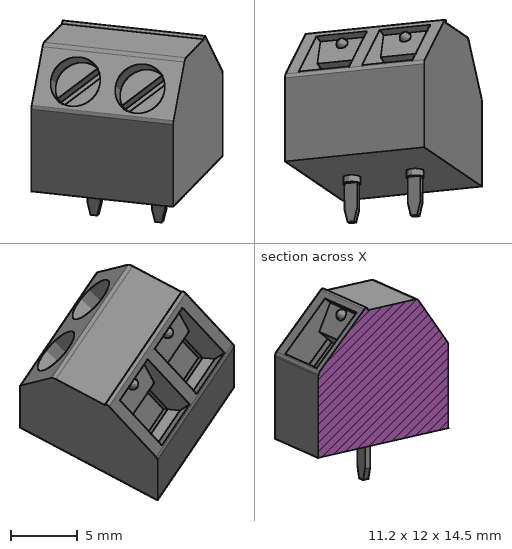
import cadquery as cq
import math


width = 11.16
depth = 12.0
roof_height = 10.8
front_shoulder = 6.7
rear_shoulder = 6.7
front_angle = 55.0
rear_angle = 45.0
edge_radius = 0.5
bead_radius = 0.2

pitch = 5.08
pole_positions = (-pitch / 2, pitch / 2)

screw_diameter = 3.84
screw_center_height = 8.6
screw_depth = 1.48
slot_width = 0.75
slot_depth = 1.0
slot_turn = 45.0

funnel_edge_inset = 0.23
mouth_width = 4.05
mouth_length = 5.18
side_draft = 19.3
flare_depth = 1.1
flare_undercut = 0.23
throat_depth = 1.91
throat_start = 0.23
throat_end = 2.93
throat_length = 0.51
ledge_tilt = 15.0
dome_radius = 0.44
dome_along = 4.7

pin_length = 3.5
pin_width = 1.02
pin_thickness = 0.5
pin_tip_width = 0.52
pin_tip_length = 1.0
collar_diameter = 1.3
collar_height = 0.51

half_depth = depth / 2
front_rad = math.radians(front_angle)
rear_rad = math.radians(rear_angle)


def front_slope_y(height):
    return -half_depth + (height - front_shoulder) / math.tan(front_rad)


def rear_slope_z(y):
    return rear_shoulder + (half_depth - y) * math.tan(rear_rad)


def make_housing():
    """Side outline extruded across the width, with its convex edges rounded."""
    roof_meets_slope = half_depth - (roof_height - rear_shoulder) / math.tan(rear_rad)
    bead_y = roof_meets_slope - bead_radius / math.sin(rear_rad)
    bead_tangent = (
        bead_y + bead_radius * math.sin(rear_rad),
        roof_height + bead_radius * math.cos(rear_rad),
    )
    roof_front = (front_slope_y(roof_height), roof_height)
    body = (
        cq.Workplane("YZ", origin=(-width / 2, 0, 0))
        .moveTo(-half_depth, 0)
        .lineTo(-half_depth, front_shoulder)
        .lineTo(*roof_front)
        .lineTo(bead_y - bead_radius, roof_height)
        .threePointArc((bead_y, roof_height + bead_radius), bead_tangent)
        .lineTo(half_depth, rear_shoulder)
        .lineTo(half_depth, 0)
        .close()
        .extrude(width)
    )
    rounded_corners = ((-half_depth, front_shoulder), roof_front, (half_depth, rear_shoulder))
    for y, z in rounded_corners:
        body = body.edges(cq.NearestToPointSelector((0, y, z))).fillet(edge_radius)
    return body


def make_screw_well(x):
    """Round well square to the front slope, with a screwdriver slot in its floor."""
    plane = cq.Plane(
        origin=(x, front_slope_y(screw_center_height), screw_center_height),
        xDir=(1, 0, 0),
        normal=(0, -math.sin(front_rad), math.cos(front_rad)),
    )
    radius = screw_diameter / 2
    total_depth = screw_depth + slot_depth
    well = cq.Workplane(plane).circle(radius).extrude(-screw_depth)
    slot = (
        cq.Workplane(plane)
        .transformed(rotate=(0, 0, slot_turn))
        .rect(2 * screw_diameter, slot_width)
        .extrude(-total_depth)
    )
    slot = slot.intersect(cq.Workplane(plane).circle(radius).extrude(-total_depth))
    return well.union(slot)


def make_wire_funnel(x):
    """Wire entry square to the rear slope: flared mouth, tilted ledge and square throat."""
    mouth_y = half_depth - funnel_edge_inset
    origin = (x, mouth_y, rear_slope_z(mouth_y))
    up_slope = (0, -math.cos(rear_rad), math.sin(rear_rad))
    long_plane = cq.Plane(origin=origin, xDir=up_slope, normal=(1, 0, 0))
    cross_plane = cq.Plane(origin=origin, xDir=(1, 0, 0), normal=up_slope)

    floor_depth = throat_depth + throat_length
    ledge_slope = math.tan(math.radians(ledge_tilt))

    def ledge_depth(along):
        return flare_depth - (along - throat_end) * ledge_slope

    long_section = (
        cq.Workplane(long_plane)
        .polyline([
            (0, 0),
            (-flare_undercut, flare_depth),
            (throat_start, throat_depth),
            (throat_start, floor_depth),
            (throat_end, floor_depth),
            (throat_end, flare_depth),
            (mouth_length, ledge_depth(mouth_length)),
            (mouth_length, 0),
        ])
        .close()
        .extrude(mouth_width, both=True)
    )
    half_mouth = mouth_width / 2
    half_throat = half_mouth - throat_depth * math.tan(math.radians(side_draft))
    cross_section = (
        cq.Workplane(cross_plane)
        .polyline([
            (-half_mouth, 0),
            (-half_throat, -throat_depth),
            (-half_throat, -floor_depth),
            (half_throat, -floor_depth),
            (half_throat, -throat_depth),
            (half_mouth, 0),
        ])
        .close()
        .extrude(2 * mouth_length, both=True)
    )
    dome_center = long_plane.toWorldCoords((dome_along, ledge_depth(dome_along)))
    dome = cq.Workplane("XY").sphere(dome_radius).translate(dome_center)
    return long_section.intersect(cross_section).cut(dome)


def make_pin(x):
    """Flat solder pin with a tapered tip below a round collar."""
    tip_start = -pin_length + pin_tip_length
    collar = cq.Workplane("XY").center(x, 0).circle(collar_diameter / 2).extrude(-collar_height)
    blade = (
        cq.Workplane("XZ", origin=(x, 0, 0))
        .polyline([
            (-pin_width / 2, 0),
            (-pin_width / 2, tip_start),
            (-pin_tip_width / 2, -pin_length),
            (pin_tip_width / 2, -pin_length),
            (pin_width / 2, tip_start),
            (pin_width / 2, 0),
        ])
        .close()
        .extrude(pin_thickness / 2, both=True)
    )
    return collar.union(blade)


result = make_housing()
for pole_x in pole_positions:
    result = result.cut(make_screw_well(pole_x))
    result = result.cut(make_wire_funnel(pole_x))
    result = result.union(make_pin(pole_x))